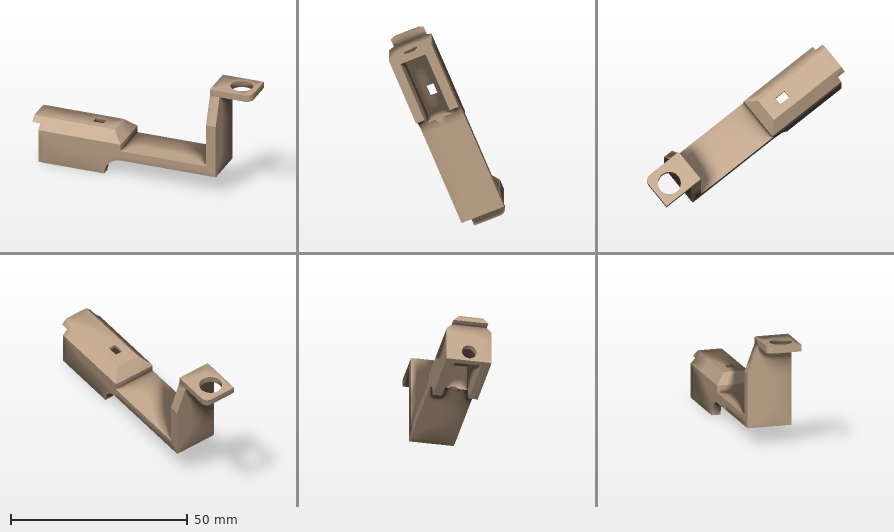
import cadquery as cq

length = 66.0
width = 13.0
height = 31.0

block_start = 2.45
block_end = 27.5
block_height = 13.0
roof_bevel = 3.0
lip_thickness = 1.5

strip_bottom = 5.0
strip_thickness = 3.0
upright_start = 53.5
undercut_radius = strip_bottom

plate_thickness = 2.0
notch_depth = 3.0
notch_start_z = 21.0
plate_corner_radius = 2.0
plate_hole_diameter = 6.5
plate_hole_x = 61.2
plate_hole_y = 8.3

front_wall = 2.0
rear_wall = 2.65
side_wall = 2.65
roof_thickness = 1.0
cavity_width = width - 2 * side_wall
window_start = 16.95
window_length = 3.3
window_width = 2.25
axial_hole_diameter = 4.2
axial_hole_z = strip_bottom - axial_hole_diameter / 2


def box(x_start, x_end, y_start, y_end, z_start, z_end):
    """Axis-aligned box given by its limits."""
    size = (x_end - x_start, y_end - y_start, z_end - z_start)
    return cq.Workplane("XY").box(*size, centered=False).translate((x_start, y_start, z_start))


def make_block():
    """Block with a front lip, an arc under its rear end and a bevelled roof."""
    undercut_start = block_end - undercut_radius
    lip_bottom = block_height - lip_thickness
    side = (
        cq.Workplane("XZ")
        .moveTo(block_start, 0)
        .lineTo(undercut_start, 0)
        .radiusArc((block_end, strip_bottom), undercut_radius)
        .lineTo(block_end, block_height - roof_bevel)
        .lineTo(block_end - roof_bevel, block_height)
        .lineTo(0, block_height)
        .lineTo(0, lip_bottom)
        .lineTo(block_start, lip_bottom)
        .close()
        .extrude(-width)
    )
    section = (
        cq.Workplane("YZ")
        .polyline([
            (0, 0),
            (width, 0),
            (width, block_height - roof_bevel),
            (width - roof_bevel, block_height),
            (roof_bevel, block_height),
            (0, block_height - roof_bevel),
        ])
        .close()
        .extrude(block_end)
    )
    return side.intersect(section)


def make_arm():
    """Strip, upright and top plate, with one side of the upright cut back."""
    upright_end = upright_start + strip_thickness
    plate_bottom = height - plate_thickness
    strip_top = strip_bottom + strip_thickness
    strip = box(block_end, upright_end, 0, width, strip_bottom, strip_top)
    upright = (
        cq.Workplane("YZ", origin=(upright_start, 0, 0))
        .polyline([
            (0, strip_bottom),
            (width, strip_bottom),
            (width, height),
            (notch_depth, height),
            (notch_depth, plate_bottom),
            (0, notch_start_z),
        ])
        .close()
        .extrude(strip_thickness)
    )
    plate = box(upright_start, length, notch_depth, width, plate_bottom, height)
    plate = plate.edges("|Z and >X and <Y").fillet(plate_corner_radius)
    hole = (
        cq.Workplane("XY", origin=(plate_hole_x, plate_hole_y, plate_bottom))
        .circle(plate_hole_diameter / 2)
        .extrude(plate_thickness)
    )
    return strip.union(upright).union(plate).cut(hole)


def make_block_openings():
    """Cavity, roof window and axial hole, all centred across the width."""
    middle = width / 2
    ceiling = block_height - roof_thickness
    cavity = box(
        block_start + front_wall, block_end - rear_wall,
        middle - cavity_width / 2, middle + cavity_width / 2,
        0, ceiling,
    )
    window = box(
        window_start, window_start + window_length,
        middle - window_width / 2, middle + window_width / 2,
        ceiling, block_height,
    )
    axial_hole = (
        cq.Workplane("YZ")
        .center(middle, axial_hole_z)
        .circle(axial_hole_diameter / 2)
        .extrude(block_end)
    )
    return cavity.union(window).union(axial_hole)


result = make_block().cut(make_block_openings()).union(make_arm())